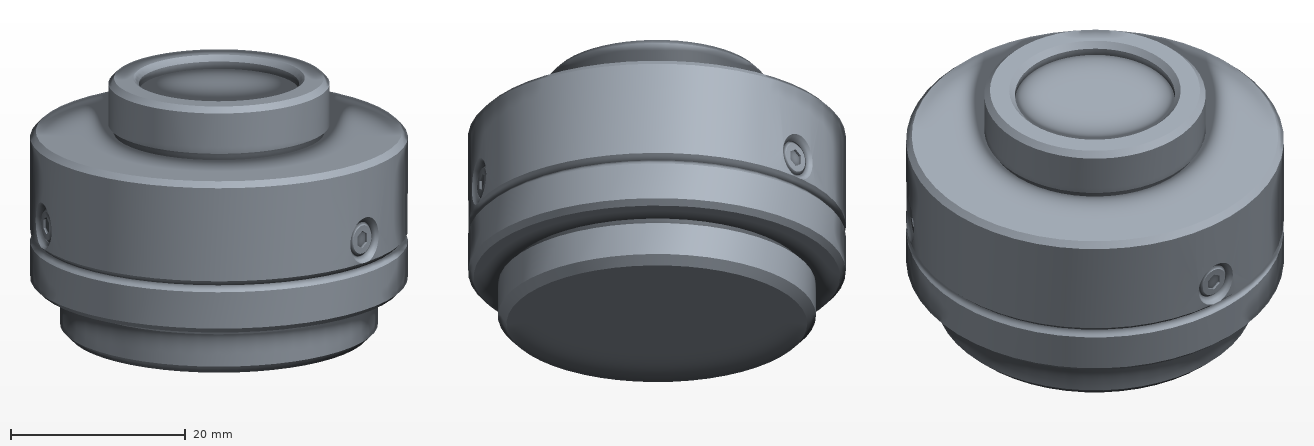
import cadquery as cq
import math

body_diameter = 43.2
body_bottom = 5.85
body_top = 23.8
edge_chamfer = 0.65
groove_depth = 0.65
groove_height = 11.45

flange_diameter = 36.35
flange_height = 4.85
flange_chamfer = 1.0
lower_neck_diameter = 34.3

total_height = 30.15
boss_diameter = 25.3
boss_bottom = 24.7
upper_neck_diameter = 24.15
recess_diameter = 18.3
recess_depth = 1.5

screw_count = 3
first_screw_angle = -90
screw_height = 14.72
screw_diameter = 4.0
screw_chamfer = 0.35
screw_face_radius = 21.1
countersink_diameter = 5.1
socket_width = 1.75
socket_depth = 0.3


def ring(diameter, bottom, top):
    """Solid disc centred on the part axis."""
    return cq.Workplane("XY").workplane(offset=bottom).circle(diameter / 2).extrude(top - bottom)


def make_body():
    body = ring(body_diameter, body_bottom, body_top).faces("<Z or >Z").chamfer(edge_chamfer)
    radius = body_diameter / 2
    groove = (
        cq.Workplane("XZ")
        .moveTo(radius, groove_height - groove_depth)
        .lineTo(radius - groove_depth, groove_height)
        .lineTo(radius, groove_height + groove_depth)
        .close()
        .revolve(360, (0, 0, 0), (0, 1, 0))
    )
    return body.cut(groove)


def make_flange():
    flange = ring(flange_diameter, 0, flange_height).faces("<Z").chamfer(flange_chamfer)
    return flange.union(ring(lower_neck_diameter, flange_height, body_bottom))


def make_boss():
    recess = ring(recess_diameter, total_height - recess_depth, total_height)
    boss = ring(boss_diameter, boss_bottom, total_height).cut(recess)
    boss = boss.faces(">Z").chamfer(edge_chamfer)
    neck = ring(upper_neck_diameter, body_top, boss_bottom)
    return boss.union(neck)


def make_screw_seat():
    """Cutter along +X: the countersink and the gap around the screw tip, minus the screw tip."""
    body_radius = body_diameter / 2
    screw_radius = screw_diameter / 2
    tip_radius = screw_radius - screw_chamfer
    rim_radius = countersink_diameter / 2
    rim_distance = math.sqrt(body_radius**2 - rim_radius**2)
    hole_distance = rim_distance - (rim_radius - screw_radius)
    clearance = 0.45
    outer_distance = body_radius + clearance
    mouth_radius = rim_radius + outer_distance - rim_distance

    seat = (
        cq.Workplane("XY")
        .moveTo(screw_face_radius, 0)
        .lineTo(screw_face_radius, tip_radius)
        .lineTo(screw_face_radius - screw_chamfer, screw_radius)
        .lineTo(hole_distance, screw_radius)
        .lineTo(outer_distance, mouth_radius)
        .lineTo(outer_distance, 0)
        .close()
        .revolve(360, (0, 0, 0), (1, 0, 0))
    )
    socket = (
        cq.Workplane("YZ")
        .workplane(offset=screw_face_radius - socket_depth)
        .transformed(rotate=(0, 0, 90))
        .polygon(6, socket_width / math.cos(math.pi / 6))
        .extrude(socket_depth)
    )
    return seat.union(socket).translate((0, 0, screw_height))


result = make_body().union(make_flange()).union(make_boss())

screw_seat = make_screw_seat()
for index in range(screw_count):
    angle = first_screw_angle + index * 360 / screw_count
    result = result.cut(screw_seat.rotate((0, 0, 0), (0, 0, 1), angle))